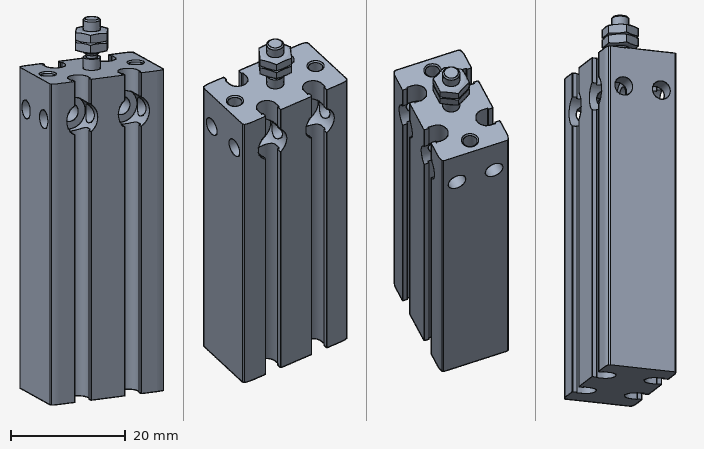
import cadquery as cq
import math

WIDTH = 13.0
DEPTH = 22.0
HEIGHT = 58.0

END_FACE_HALF_WIDTH = 6.0
CORNER_ARC_RADIUS = 3.5
CORNER_ARC_START_Y = 9.55
CORNER_ARC_END_Y = 10.8

SLOT_Y = 4.85
SLOT_LIP = 0.9
MOUTH_WIDTH = 3.1
MOUTH_CHAMFER = 0.1
SLOT_WIDTH = 3.65
SLOT_DEPTH = 3.75

MOUNT_Z = HEIGHT - 7.0
MOUNT_DIAMETER = 3.3
END_MOUNT_X = 3.5
SIDE_MOUNT_Y = 5.0
COUNTERBORE_DIAMETER = 6.0
COUNTERBORE_DEPTH = 5.0

TAPPED_Y = 8.5
TAPPED_DIAMETER = 2.5
TAPPED_DEPTH = 6.0
TAPPED_MOUTH_DIAMETER = 3.0

ROD_DIAMETER = 3.0
ROD_TOP = HEIGHT + 9.0
ROD_BOTTOM = HEIGHT - 10.0
SHANK_TOP = HEIGHT + 2.0
NECK_DIAMETER = 2.0
THREAD_BOTTOM = HEIGHT + 3.0
THREAD_CORE_DIAMETER = 2.46

NUT_COUNT = 2
NUT_FLATS = 5.5
NUT_HEIGHT = 1.8
NUT_BOTTOM = HEIGHT + 3.4
NUT_FACE_DIAMETER = 4.75
NUT_CHAMFER_ANGLE = 15.0


def housing_block():
    """Block with rounded long corners, drawn as one quarter and mirrored."""
    arc_center_x = WIDTH / 2 - CORNER_ARC_RADIUS

    def arc_x(y):
        return arc_center_x + math.sqrt(CORNER_ARC_RADIUS**2 - (y - CORNER_ARC_START_Y) ** 2)

    arc_mid_y = (CORNER_ARC_START_Y + CORNER_ARC_END_Y) / 2
    return (
        cq.Workplane("XY")
        .moveTo(0, DEPTH / 2)
        .lineTo(END_FACE_HALF_WIDTH, DEPTH / 2)
        .lineTo(arc_x(CORNER_ARC_END_Y), CORNER_ARC_END_Y)
        .threePointArc((arc_x(arc_mid_y), arc_mid_y), (WIDTH / 2, CORNER_ARC_START_Y))
        .lineTo(WIDTH / 2, 0)
        .mirrorX()
        .mirrorY()
        .extrude(HEIGHT)
    )


def sensor_slot(side, y):
    """Slot cutter: chamfered mouth, then a wider round-bottomed channel."""
    face_x = WIDTH / 2
    lip_x = face_x - SLOT_LIP
    bottom_x = face_x - SLOT_DEPTH
    round_x = bottom_x + SLOT_WIDTH / 2
    mouth = MOUTH_WIDTH / 2
    channel = SLOT_WIDTH / 2
    return (
        cq.Workplane("XY")
        .moveTo(side * face_x, y + mouth + MOUTH_CHAMFER)
        .lineTo(side * (face_x - MOUTH_CHAMFER), y + mouth)
        .lineTo(side * lip_x, y + mouth)
        .lineTo(side * lip_x, y + channel)
        .lineTo(side * round_x, y + channel)
        .threePointArc((side * bottom_x, y), (side * round_x, y - channel))
        .lineTo(side * lip_x, y - channel)
        .lineTo(side * lip_x, y - mouth)
        .lineTo(side * (face_x - MOUTH_CHAMFER), y - mouth)
        .lineTo(side * face_x, y - mouth - MOUTH_CHAMFER)
        .close()
        .extrude(HEIGHT)
    )


def end_mount_hole(x):
    """Plain hole along Y through the whole housing."""
    return (
        cq.Workplane("XZ")
        .center(x, MOUNT_Z)
        .circle(MOUNT_DIAMETER / 2)
        .extrude(DEPTH / 2, both=True)
    )


def side_mount_hole(y):
    """Hole along X through the whole housing, counterbored from both sides."""
    hole = (
        cq.Workplane("YZ")
        .center(y, MOUNT_Z)
        .circle(MOUNT_DIAMETER / 2)
        .extrude(WIDTH / 2, both=True)
    )
    for side in (-1, 1):
        counterbore = (
            cq.Workplane("YZ", origin=(side * WIDTH / 2, 0, 0))
            .center(y, MOUNT_Z)
            .circle(COUNTERBORE_DIAMETER / 2)
            .extrude(-side * COUNTERBORE_DEPTH)
        )
        hole = hole.union(counterbore)
    return hole


def tapped_hole(y):
    """Blind hole in the top face with a countersunk mouth."""
    mouth_chamfer = (TAPPED_MOUTH_DIAMETER - TAPPED_DIAMETER) / 2
    return (
        cq.Workplane("XZ", origin=(0, y, 0))
        .moveTo(0, HEIGHT)
        .lineTo(TAPPED_MOUTH_DIAMETER / 2, HEIGHT)
        .lineTo(TAPPED_DIAMETER / 2, HEIGHT - mouth_chamfer)
        .lineTo(TAPPED_DIAMETER / 2, HEIGHT - TAPPED_DEPTH)
        .lineTo(0, HEIGHT - TAPPED_DEPTH)
        .close()
        .revolve(360, (0, 0, 0), (0, 1, 0))
    )


def make_housing():
    housing = housing_block()
    for y_side in (-1, 1):
        for x_side in (-1, 1):
            housing = housing.cut(sensor_slot(x_side, y_side * SLOT_Y))
        housing = housing.cut(side_mount_hole(y_side * SIDE_MOUNT_Y))
        housing = housing.cut(end_mount_hole(y_side * END_MOUNT_X))
        housing = housing.cut(tapped_hole(y_side * TAPPED_Y))
    rod_bore = (
        cq.Workplane("XY", origin=(0, 0, ROD_BOTTOM))
        .circle(ROD_DIAMETER / 2)
        .extrude(HEIGHT - ROD_BOTTOM)
    )
    return housing.cut(rod_bore)


def make_piston_rod():
    """Turned rod; both ends of the thread taper at 45 degrees."""
    rod = ROD_DIAMETER / 2
    neck = NECK_DIAMETER / 2
    core = THREAD_CORE_DIAMETER / 2
    return (
        cq.Workplane("XZ")
        .moveTo(0, ROD_BOTTOM)
        .lineTo(rod, ROD_BOTTOM)
        .lineTo(rod, SHANK_TOP)
        .lineTo(neck, SHANK_TOP)
        .lineTo(neck, THREAD_BOTTOM - (rod - neck))
        .lineTo(rod, THREAD_BOTTOM)
        .lineTo(rod, ROD_TOP - (rod - core))
        .lineTo(core, ROD_TOP)
        .lineTo(0, ROD_TOP)
        .close()
        .revolve(360, (0, 0, 0), (0, 1, 0))
    )


def make_nut(bottom_z):
    """Hexagon nut whose corners are cut back by a cone at both faces."""
    corner_diameter = NUT_FLATS / math.cos(math.radians(30))
    face = NUT_FACE_DIAMETER / 2
    corner = corner_diameter / 2
    cone_height = (corner - face) * math.tan(math.radians(NUT_CHAMFER_ANGLE))
    hexagon = (
        cq.Workplane("XY", origin=(0, 0, bottom_z))
        .transformed(rotate=(0, 0, 90))
        .polygon(6, corner_diameter)
        .extrude(NUT_HEIGHT)
    )
    turned_blank = (
        cq.Workplane("XZ", origin=(0, 0, bottom_z))
        .moveTo(0, 0)
        .lineTo(face, 0)
        .lineTo(corner, cone_height)
        .lineTo(corner, NUT_HEIGHT - cone_height)
        .lineTo(face, NUT_HEIGHT)
        .lineTo(0, NUT_HEIGHT)
        .close()
        .revolve(360, (0, 0, 0), (0, 1, 0))
    )
    bore = (
        cq.Workplane("XY", origin=(0, 0, bottom_z))
        .circle(ROD_DIAMETER / 2)
        .extrude(NUT_HEIGHT)
    )
    return hexagon.intersect(turned_blank).cut(bore)


housing = make_housing()
piston_rod = make_piston_rod()
nuts = [make_nut(NUT_BOTTOM + i * NUT_HEIGHT) for i in range(NUT_COUNT)]

result = cq.Compound.makeCompound(
    [housing.val(), piston_rod.val(), *[nut.val() for nut in nuts]]
)